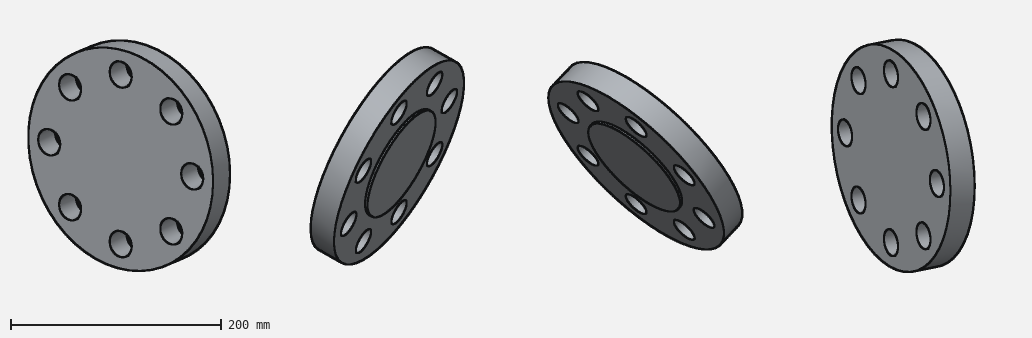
import cadquery as cq

flange_diameter = 220.0
total_thickness = 30.0
raised_face_diameter = 115.0
raised_face_height = 2.9
bolt_circle_diameter = 170.0
bolt_hole_diameter = 26.0
bolt_hole_count = 8

disc_thickness = total_thickness - raised_face_height


def cylinder_along_y(diameter, length):
    """Solid cylinder starting at Y = 0 and extending toward +Y."""
    return cq.Workplane("XZ").circle(diameter / 2).extrude(-length)


disc = cylinder_along_y(flange_diameter, disc_thickness)
raised_face = cylinder_along_y(raised_face_diameter, total_thickness)

bolt_holes = (
    cq.Workplane("XZ")
    .polarArray(bolt_circle_diameter / 2, 0, 360, bolt_hole_count)
    .circle(bolt_hole_diameter / 2)
    .extrude(-disc_thickness)
)

result = disc.union(raised_face).cut(bolt_holes)